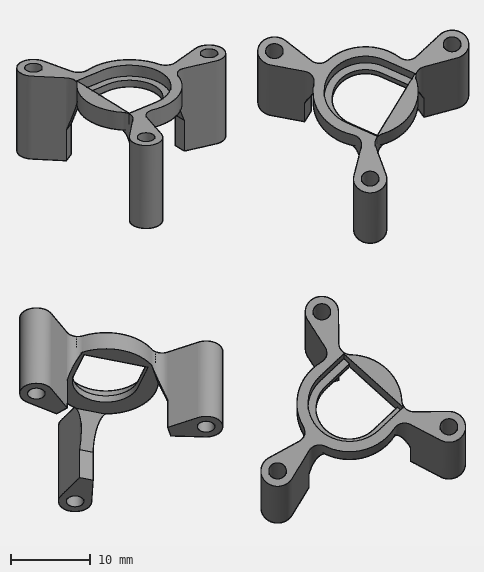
import cadquery as cq
import math

total_height = 12.07
leg_count = 3
leg_circle_radius = 12.89

ring_radius = 6.6
ring_thickness = 2.6
pocket_radius = 5.2
pocket_depth = 1.6
ledge_width = 1.0
opening_radius = pocket_radius - ledge_width
flat_y = -4.3

hole_diameter = 2.2
leg_wall = 1.0
leg_end_radius = hole_diameter / 2 + leg_wall
side_angle = math.radians(15)
fillet_radius = 1.5
web_drop = 5.0

ring_bottom_z = total_height - ring_thickness
pocket_floor_z = total_height - pocket_depth

cos_side = math.cos(side_angle)
sin_side = math.sin(side_angle)
side_start = (leg_end_radius * cos_side, leg_circle_radius - leg_end_radius * sin_side)

offset_from_leg_axis = leg_end_radius + fillet_radius
along_side = leg_circle_radius * cos_side - math.sqrt(
    (ring_radius + fillet_radius) ** 2
    - (offset_from_leg_axis - leg_circle_radius * sin_side) ** 2
)
neck = (side_start[0] - along_side * sin_side, side_start[1] - along_side * cos_side)
fillet_center = (neck[0] + fillet_radius * cos_side, neck[1] - fillet_radius * sin_side)
ring_share = ring_radius / (ring_radius + fillet_radius)
ring_contact = (fillet_center[0] * ring_share, fillet_center[1] * ring_share)


def fillet_middle():
    """Point halfway along the fillet arc between neck and ring_contact."""
    chord_x = (neck[0] + ring_contact[0]) / 2 - fillet_center[0]
    chord_y = (neck[1] + ring_contact[1]) / 2 - fillet_center[1]
    stretch = fillet_radius / math.hypot(chord_x, chord_y)
    return (fillet_center[0] + chord_x * stretch, fillet_center[1] + chord_y * stretch)


def mirrored(point):
    """Same point on the other side of the leg centreline."""
    return (-point[0], point[1])


def make_leg():
    """Tapered leg along +Y, filleted into the ring, with a sloped web under the ring."""
    middle = fillet_middle()
    leg = (
        cq.Workplane("XY")
        .moveTo(*ring_contact)
        .threePointArc(middle, neck)
        .lineTo(*side_start)
        .threePointArc((0, leg_circle_radius + leg_end_radius), mirrored(side_start))
        .lineTo(*mirrored(neck))
        .threePointArc(mirrored(middle), mirrored(ring_contact))
        .close()
        .extrude(total_height)
    )
    clearance = (
        cq.Workplane("YZ")
        .moveTo(ring_contact[1], 0)
        .lineTo(neck[1], 0)
        .lineTo(neck[1], ring_bottom_z - web_drop)
        .lineTo(ring_contact[1], ring_bottom_z)
        .close()
        .extrude(ring_contact[0], both=True)
    )
    return leg.cut(clearance)


def make_arch(radius, bottom_z):
    """Round-topped prism with a straight edge at flat_y, up to the top face."""
    return (
        cq.Workplane("XY", origin=(0, 0, bottom_z))
        .moveTo(-radius, flat_y)
        .lineTo(-radius, 0)
        .threePointArc((0, radius), (radius, 0))
        .lineTo(radius, flat_y)
        .close()
        .extrude(total_height - bottom_z)
    )


def make_leg_holes():
    """Through holes at the leg ends."""
    return (
        cq.Workplane("XY")
        .polarArray(leg_circle_radius, 90, 360, leg_count)
        .circle(hole_diameter / 2)
        .extrude(total_height)
    )


body = cq.Workplane("XY", origin=(0, 0, ring_bottom_z)).circle(ring_radius).extrude(ring_thickness)
leg = make_leg()
for index in range(leg_count):
    body = body.union(leg.rotate((0, 0, 0), (0, 0, 1), index * 360 / leg_count))

body = body.cut(make_arch(pocket_radius, pocket_floor_z))
body = body.cut(make_arch(opening_radius, ring_bottom_z))
result = body.cut(make_leg_holes())